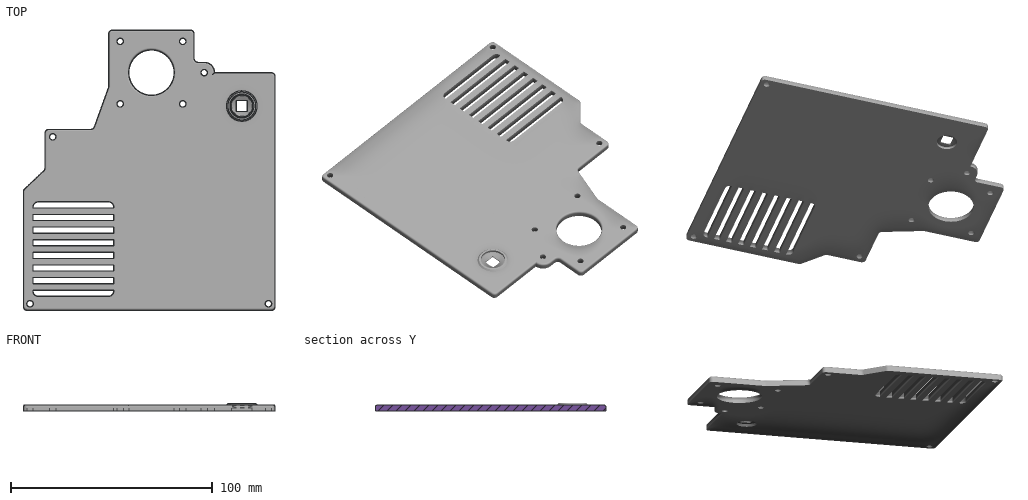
import cadquery as cq

width = 125.0
depth = 139.2
thickness = 3.0
total_height = 3.8
edge_round = 1.0
corner_radius = 2.0

left_edge_top = 59.7
shoulder_x = 10.7
shoulder_bottom = 69.9
shoulder_top = 89.9
slope_foot_x = 34.8
neck_left = 42.3
neck_right = 84.8
neck_bottom = 110.8
right_edge_top = 118.0

ear_x = 89.8
ear_radius = 5.2
ear_top = right_edge_top + ear_radius

motor_x = 63.6
motor_y = right_edge_top
motor_bore = 22.4
motor_screw_pitch = 31.0
screw_diameter = 3.0

screw_inset = 3.3
shoulder_screw = (14.6, 86.2)

slot_count = 8
slot_length = 40.0
slot_width = 2.9
slot_pitch = 6.3
slot_left = 4.9
slot_bottom = 7.1
vent_corner_radius = 2.5

boss_x = 108.5
boss_y = 101.5
boss_top_diameter = 13.8
boss_base_diameter = boss_top_diameter + 2 * (total_height - thickness)
recess_diameter = 12.0
recess_depth = 1.1
seat_diameter = 10.9
seat_depth = 1.0
underside_recess_diameter = 10.2
underside_recess_depth = 1.4
square_side = 5.3
seat_bottom_diameter = square_side


def make_plate():
    outline = (
        cq.Workplane("XY")
        .moveTo(0, 0)
        .lineTo(width, 0)
        .lineTo(width, right_edge_top)
        .lineTo(ear_x + ear_radius, right_edge_top)
        .radiusArc((ear_x, ear_top), -ear_radius)
        .lineTo(neck_right, ear_top)
        .lineTo(neck_right, depth)
        .lineTo(neck_left, depth)
        .lineTo(neck_left, neck_bottom)
        .lineTo(slope_foot_x, shoulder_top)
        .lineTo(shoulder_x, shoulder_top)
        .lineTo(shoulder_x, shoulder_bottom)
        .lineTo(0, left_edge_top)
        .close()
    )
    plate = outline.extrude(thickness)
    outer_corners = [
        (0, 0),
        (width, 0),
        (width, right_edge_top),
        (neck_right, depth),
        (neck_left, depth),
        (shoulder_x, shoulder_top),
        (0, left_edge_top),
    ]
    inner_corners = [
        (neck_right, ear_top),
        (neck_left, neck_bottom),
        (slope_foot_x, shoulder_top),
        (shoulder_x, shoulder_bottom),
    ]
    plate = round_corners(plate, outer_corners + inner_corners, corner_radius)
    return plate.faces(">Z").edges().fillet(edge_round)


def round_corners(plate, corners, radius):
    for x, y in corners:
        nearest = cq.selectors.NearestToPointSelector((x, y, thickness / 2))
        plate = plate.edges("|Z").edges(nearest).fillet(radius)
    return plate


def make_vents():
    vent_height = (slot_count - 1) * slot_pitch + slot_width
    vent_window = (
        cq.Workplane("XY")
        .rect(slot_length, vent_height)
        .extrude(thickness)
        .edges("|Z")
        .fillet(vent_corner_radius)
    )
    slots = (
        cq.Workplane("XY")
        .rarray(1.4, slot_pitch, 1, slot_count)
        .rect(slot_length, slot_width)
        .extrude(thickness)
    )
    center = (slot_left + slot_length / 2, slot_bottom + vent_height / 2, 0)
    return slots.intersect(vent_window).translate(center)


def make_screw_holes():
    half_pitch = motor_screw_pitch / 2
    centers = [
        (screw_inset, screw_inset),
        (width - screw_inset, screw_inset),
        shoulder_screw,
        (ear_x, right_edge_top),
    ]
    for side_x in (-1, 1):
        for side_y in (-1, 1):
            centers.append((motor_x + side_x * half_pitch, motor_y + side_y * half_pitch))
    return cq.Workplane("XY").pushPoints(centers).circle(screw_diameter / 2).extrude(thickness)


def spin(profile):
    return profile.revolve(360, (0, 0, 0), (0, 1, 0))


def make_motor_opening():
    bore_radius = motor_bore / 2
    profile = (
        cq.Workplane("XZ")
        .lineTo(bore_radius, 0)
        .lineTo(bore_radius, thickness - edge_round)
        .radiusArc((bore_radius + edge_round, thickness), edge_round)
        .lineTo(0, thickness)
        .close()
    )
    return spin(profile).translate((motor_x, motor_y, 0))


def make_boss():
    profile = (
        cq.Workplane("XZ")
        .lineTo(boss_base_diameter / 2, 0)
        .lineTo(boss_base_diameter / 2, thickness)
        .lineTo(boss_top_diameter / 2, total_height)
        .lineTo(0, total_height)
        .close()
    )
    return spin(profile).translate((boss_x, boss_y, 0))


def make_boss_seat():
    ledge_z = total_height - recess_depth
    profile = (
        cq.Workplane("XZ")
        .moveTo(0, ledge_z - seat_depth)
        .lineTo(seat_bottom_diameter / 2, ledge_z - seat_depth)
        .lineTo(seat_diameter / 2, ledge_z)
        .lineTo(recess_diameter / 2, ledge_z)
        .lineTo(recess_diameter / 2, total_height)
        .lineTo(0, total_height)
        .close()
    )
    seat = spin(profile)
    square_hole = cq.Workplane("XY").rect(square_side, square_side).extrude(total_height)
    underside_recess = (
        cq.Workplane("XY").circle(underside_recess_diameter / 2).extrude(underside_recess_depth)
    )
    return seat.union(square_hole).union(underside_recess).translate((boss_x, boss_y, 0))


result = (
    make_plate()
    .cut(make_vents())
    .cut(make_screw_holes())
    .cut(make_motor_opening())
    .union(make_boss())
    .cut(make_boss_seat())
    .solids()
)